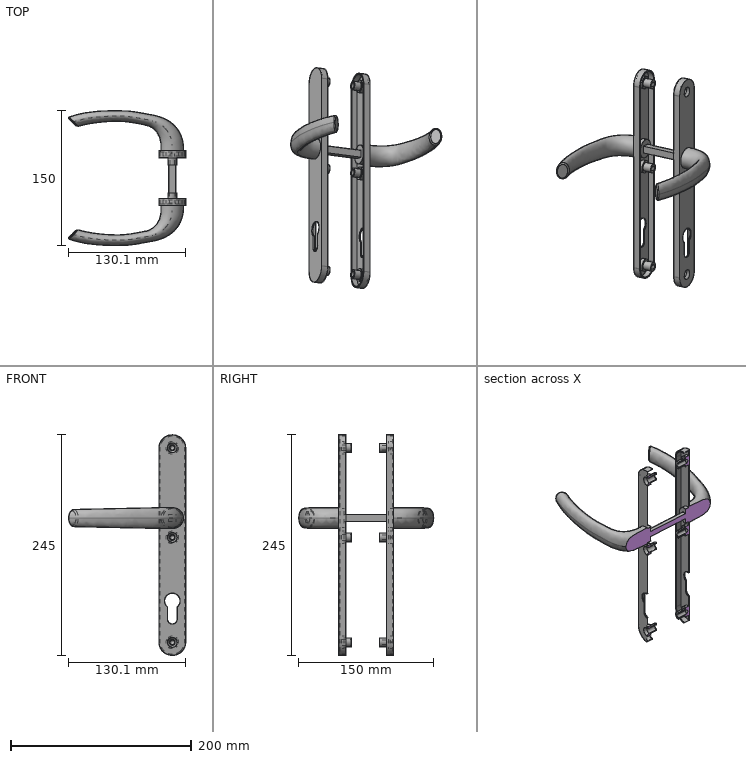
import cadquery as cq
import math


PLATE_LENGTH = 245.0
PLATE_WIDTH = 30.0
PLATE_DEPTH = 8.0
PLATE_BACK = 22.5
PLATE_FACE = PLATE_BACK + PLATE_DEPTH
PLATE_TOP = 92.5
PLATE_CENTRE_Z = PLATE_TOP - PLATE_LENGTH / 2
WALL = 1.5

BOSS_RECESS = 2.0
BOSS_TOP = PLATE_BACK + BOSS_RECESS
SPINDLE_BOSS_DIAMETER = 21.0
SCREW_BOSS_DIAMETER = 14.0

SCREW_END_MARGIN = 14.5
MIDDLE_SCREW_DROP = 21.5
SCREW_HEIGHTS = (
    PLATE_TOP - SCREW_END_MARGIN,
    -MIDDLE_SCREW_DROP,
    PLATE_TOP - PLATE_LENGTH + SCREW_END_MARGIN,
)
POST_DIAMETER = 10.0
FRONT_POST_PROJECTION = 6.0
REAR_POST_PROJECTION = 8.0

HEAD_DIAMETER = 11.0
CLEARANCE_DIAMETER = 6.5
COUNTERSINK_DEPTH = 3.0
BLIND_DIAMETER = 5.0
BLIND_DEPTH = 12.0
DRILL_TIP_HALF_ANGLE = 59.0

CYLINDER_DROP = 92.0
CYLINDER_DIAMETER = 17.0
CYLINDER_SLOT_WIDTH = 10.5
CYLINDER_HEIGHT = 34.0

SPINDLE_SIZE = 8.0

LEVER_REACH = 74.985

LEVER_SECTIONS = (
    ((-12.7, PLATE_FACE), (12.5, PLATE_FACE), 23.4),
    ((-13.0, 41.0), (11.2, 43.0), 23.4),
    ((-16.5, 50.0), (4.5, 56.0), 23.4),
    ((-22.0, 55.7), (-7.0, 65.2), 23.2),
    ((-32.0, 59.2), (-27.5, 71.3), 22.6),
    ((-46.0, 61.8), (-44.5, 74.1), 22.0),
    ((-62.0, 62.85), (-62.5, LEVER_REACH), 21.3),
    ((-78.0, 62.1), (-80.0, 74.5), 20.6),
    ((-93.0, 60.0), (-97.0, 72.5), 19.9),
    ((-107.0, 56.6), (-113.0, 68.4), 19.2),
    ((-118.0, 52.7), (-125.0, 63.9), 18.6),
)
TIP_PLANE_POINT = (-115.3, 66.4)
TIP_SLANT = 45.0
TIP_CHAMFER = 1.5
TIP_TRIM_SIZE = 60.0


def y_plane(y):
    """Plane facing +Y with local X along +X and local Y along -Z."""
    return cq.Plane(origin=(0, y, 0), xDir=(1, 0, 0), normal=(0, 1, 0))


def y_cylinder(diameter, z, y_start, y_end):
    return (
        cq.Workplane(y_plane(y_start))
        .center(0, -z)
        .circle(diameter / 2)
        .extrude(y_end - y_start)
    )


def rounded_bar(length, width, y_start, y_end):
    return (
        cq.Workplane(y_plane(y_start))
        .center(0, -PLATE_CENTRE_Z)
        .slot2D(length, width, 90)
        .extrude(y_end - y_start)
    )


def hollow_plate():
    plate = rounded_bar(PLATE_LENGTH, PLATE_WIDTH, PLATE_BACK, PLATE_FACE)
    pocket = rounded_bar(
        PLATE_LENGTH - 2 * WALL, PLATE_WIDTH - 2 * WALL, PLATE_BACK, PLATE_FACE - WALL
    )
    return plate.cut(pocket)


def cylinder_cutout():
    bottom = -CYLINDER_DROP + CYLINDER_DIAMETER / 2 - CYLINDER_HEIGHT
    slot_end_z = bottom + CYLINDER_SLOT_WIDTH / 2
    slot_length = -CYLINDER_DROP - slot_end_z
    round_part = y_cylinder(CYLINDER_DIAMETER, -CYLINDER_DROP, PLATE_BACK, PLATE_FACE)
    slot_end = y_cylinder(CYLINDER_SLOT_WIDTH, slot_end_z, PLATE_BACK, PLATE_FACE)
    slot = (
        cq.Workplane(y_plane(PLATE_BACK))
        .center(0, -(slot_end_z + slot_length / 2))
        .rect(CYLINDER_SLOT_WIDTH, slot_length)
        .extrude(PLATE_DEPTH)
    )
    return round_part.union(slot).union(slot_end)


def lever_section(inner, outer, height):
    span_x = outer[0] - inner[0]
    span_y = outer[1] - inner[1]
    plane = cq.Plane(
        origin=((inner[0] + outer[0]) / 2, (inner[1] + outer[1]) / 2, 0),
        xDir=(span_x, span_y, 0),
        normal=(-span_y, span_x, 0),
    )
    half_thickness = math.hypot(span_x, span_y) / 2
    outline = cq.Workplane(plane).ellipse(half_thickness, height / 2)
    return outline.wires().val()


def lever():
    sections = [lever_section(*section) for section in LEVER_SECTIONS]
    grip = cq.Workplane(cq.Solid.makeLoft(sections, False))
    slant = math.radians(TIP_SLANT)
    outward = cq.Vector(-math.sin(slant), -math.cos(slant), 0)
    tip_plane = cq.Plane(origin=(*TIP_PLANE_POINT, 0), xDir=(0, 0, 1), normal=outward)
    beyond_tip = (
        cq.Workplane(tip_plane).rect(TIP_TRIM_SIZE, TIP_TRIM_SIZE).extrude(TIP_TRIM_SIZE / 2)
    )
    trimmed = grip.cut(beyond_tip)
    tip_face = trimmed.faces(cq.selectors.DirectionMinMaxSelector(outward))
    return tip_face.chamfer(TIP_CHAMFER)


def revolved_about_screw(profile, z):
    """Revolve a (radius, Y) profile about the screw axis at height z."""
    return (
        cq.Workplane("XY", origin=(0, 0, z))
        .polyline(profile)
        .close()
        .revolve(360, (0, 0, 0), (0, 1, 0))
    )


def countersunk_hole(z, post_end):
    profile = (
        (0, post_end),
        (CLEARANCE_DIAMETER / 2, post_end),
        (CLEARANCE_DIAMETER / 2, PLATE_FACE - COUNTERSINK_DEPTH),
        (HEAD_DIAMETER / 2, PLATE_FACE),
        (0, PLATE_FACE),
    )
    return revolved_about_screw(profile, z)


def blind_hole(z, post_end):
    radius = BLIND_DIAMETER / 2
    tip_length = radius / math.tan(math.radians(DRILL_TIP_HALF_ANGLE))
    profile = (
        (0, post_end),
        (radius, post_end),
        (radius, post_end + BLIND_DEPTH),
        (0, post_end + BLIND_DEPTH + tip_length),
    )
    return revolved_about_screw(profile, z)


def handle_set(post_projection, screw_hole):
    """Plate, posts and lever on the +Y side."""
    post_end = PLATE_BACK - post_projection
    floor = PLATE_FACE - WALL
    body = hollow_plate().cut(cylinder_cutout())
    body = body.union(y_cylinder(SPINDLE_BOSS_DIAMETER, 0, BOSS_TOP, floor))
    for z in SCREW_HEIGHTS:
        body = body.union(y_cylinder(SCREW_BOSS_DIAMETER, z, BOSS_TOP, floor))
        body = body.union(y_cylinder(POST_DIAMETER, z, post_end, floor))
    for z in SCREW_HEIGHTS:
        body = body.cut(screw_hole(z, post_end))
    return body.union(lever())


rear_set = handle_set(REAR_POST_PROJECTION, blind_hole)
front_set = handle_set(FRONT_POST_PROJECTION, countersunk_hole).mirror("XZ")
spindle = cq.Workplane("XY").box(SPINDLE_SIZE, 2 * BOSS_TOP, SPINDLE_SIZE)

result = rear_set.union(spindle).union(front_set)